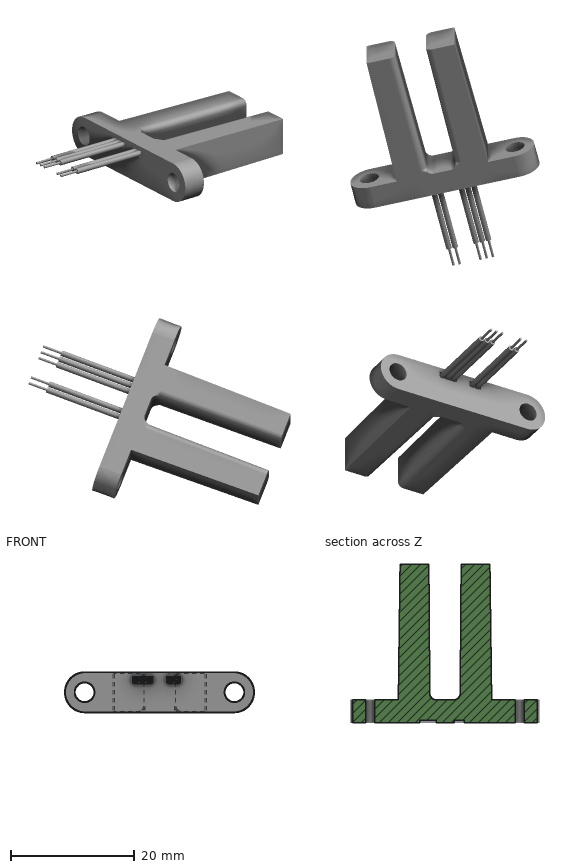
import cadquery as cq
import math


overall_length = 41.65
flange_thickness = 3.8
wire_length = 12.65
core_length = 3.15
tip_y = overall_length - core_length - wire_length

flange_width = 30.75
flange_height = 6.6
mount_hole_diameter = 3.15
mount_hole_spacing = 24.32

root_half_width = 7.62
tip_half_width = 7.35
tip_half_height = 3.1
height_slope = (flange_height / 2 - tip_half_height) / tip_y
root_half_height = flange_height / 2 - flange_thickness * height_slope

slot_floor_half_width = 2.4
slot_tip_half_width = 2.6
slot_corner_radius = 1.0
slot_edge_radius = 1.0
edge_runout_width = 1.65
edge_round_start_y = flange_thickness + slot_edge_radius
cut_margin = 0.4

wire_diameter = 0.9
core_diameter = 0.405
wire_pitch = 1.05
wire_z = 2.0
notch_side_gap = 0.12
notch_top_z = 2.55
notch_height = 1.12
notch_depth = 0.4
notch_corner_radius = 0.37
wire_groups = [(-2.75, 3), (2.3, 2)]


def xz_plane(y):
    """Plane at the given Y whose local axes are X and Z and whose normal is -Y."""
    return cq.Workplane("XZ", origin=(0, y, 0))


def along_arm(root, tip, y):
    """Size at y of something that varies linearly from the flange face to the arm tip."""
    return root + (tip - root) * (y - flange_thickness) / (tip_y - flange_thickness)


def make_flange():
    draft_angle = math.degrees(math.atan(height_slope))
    plate = xz_plane(0).slot2D(flange_width, flange_height).extrude(-flange_thickness, taper=draft_angle)
    holes = (
        xz_plane(flange_thickness)
        .pushPoints([(-mount_hole_spacing / 2, 0), (mount_hole_spacing / 2, 0)])
        .circle(mount_hole_diameter / 2)
        .extrude(flange_thickness)
    )
    return plate.cut(holes)


def make_arm_block():
    return (
        xz_plane(flange_thickness)
        .rect(2 * root_half_width, 2 * root_half_height)
        .workplane(offset=flange_thickness - tip_y)
        .rect(2 * tip_half_width, 2 * tip_half_height)
        .loft(ruled=True)
    )


def make_slot():
    return (
        cq.Workplane("XY", origin=(0, 0, -flange_height))
        .moveTo(-slot_floor_half_width, flange_thickness)
        .lineTo(slot_floor_half_width, flange_thickness)
        .lineTo(slot_tip_half_width, tip_y)
        .lineTo(-slot_tip_half_width, tip_y)
        .close()
        .extrude(2 * flange_height)
        .edges("|Z and <Y")
        .fillet(slot_corner_radius)
    )


def edge_round_profile(y):
    """Waste outside the rounded upper edge of the +X slot wall, as a wire at the given Y."""
    wall_x = along_arm(slot_floor_half_width, slot_tip_half_width, y)
    top_z = along_arm(root_half_height, tip_half_height, y)
    outer_x = wall_x + slot_edge_radius
    lower_z = top_z - slot_edge_radius
    arc_offset = slot_edge_radius * (1 - math.sqrt(0.5))
    return (
        xz_plane(y)
        .moveTo(wall_x, lower_z)
        .threePointArc((wall_x + arc_offset, top_z - arc_offset), (outer_x, top_z))
        .lineTo(outer_x, top_z + cut_margin)
        .lineTo(wall_x - cut_margin, top_z + cut_margin)
        .lineTo(wall_x - cut_margin, lower_z)
        .close()
        .val()
    )


def make_edge_rounds():
    """Cutters for the four long slot edges, each running out at a slant to the slot floor."""
    start = edge_round_profile(edge_round_start_y)
    straight = cq.Solid.makeLoft([start, edge_round_profile(tip_y)], True)
    runout_step = cq.Vector(-edge_runout_width, -slot_edge_radius, 0)
    runout = cq.Solid.extrudeLinear(start, [], runout_step)
    upper_right = cq.Workplane(straight).union(cq.Workplane(runout))
    upper = upper_right.union(upper_right.mirror("YZ"))
    return upper.union(upper.mirror("XY"))


def make_notch(centre_x, wire_count):
    width = (wire_count - 1) * wire_pitch + wire_diameter + 2 * notch_side_gap
    return (
        xz_plane(notch_depth)
        .center(centre_x, notch_top_z - notch_height / 2)
        .rect(width, notch_height)
        .extrude(notch_depth)
        .edges("|Y and <Z")
        .fillet(notch_corner_radius)
    )


def make_wires(centre_x, wire_count):
    first_x = centre_x - (wire_count - 1) * wire_pitch / 2
    places = [(first_x + i * wire_pitch, wire_z) for i in range(wire_count)]
    sleeve_length = notch_depth + wire_length
    sleeves = xz_plane(notch_depth).pushPoints(places).circle(wire_diameter / 2).extrude(sleeve_length)
    cores = xz_plane(-wire_length).pushPoints(places).circle(core_diameter / 2).extrude(core_length)
    return sleeves.union(cores)


result = make_flange().union(make_arm_block()).cut(make_slot()).cut(make_edge_rounds())
for group_x, group_size in wire_groups:
    result = result.cut(make_notch(group_x, group_size)).union(make_wires(group_x, group_size))